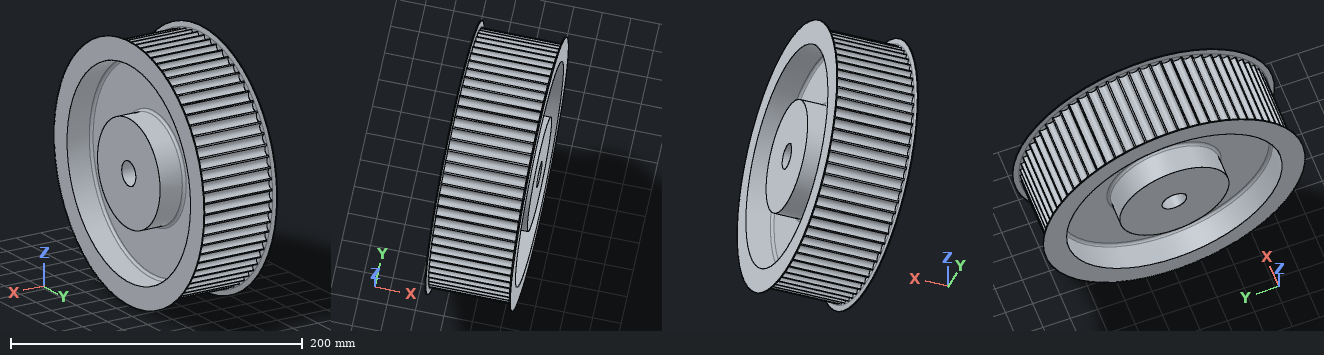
import cadquery as cq
import math

flange_diameter = 192.0
width = 60.0
flange_root_thickness = 1.44
flange_rim_thickness = 0.8
flange_cone_diameter = 184.0
tooth_count = 72
tip_diameter = 182.0
land_width = 1.2
groove_depth = 3.5
recess_diameter = 158.0
boss_diameter = 80.0
bore_diameter = 18.0
corner_radius = 2.0
web_thickness = 20.0

recess_depth = (width - web_thickness) / 2
tip_radius = tip_diameter / 2
tooth_pitch_angle = 2 * math.pi / tooth_count
half_groove_angle = tooth_pitch_angle / 2 - land_width / tip_diameter


def polar(radius, angle):
    return (radius * math.cos(angle), radius * math.sin(angle))


def disc(x_start, diameter, length):
    """Solid cylinder along +X from x_start."""
    return cq.Workplane("YZ", origin=(x_start, 0, 0)).circle(diameter / 2).extrude(length)


def toothed_rim():
    """Full-width cylinder with concave arc grooves separated by narrow lands."""
    outline = cq.Workplane("YZ", origin=(-width / 2, 0, 0)).moveTo(*polar(tip_radius, -half_groove_angle))
    for tooth in range(tooth_count):
        angle = tooth * tooth_pitch_angle
        next_angle = angle + tooth_pitch_angle
        outline = outline.threePointArc(
            polar(tip_radius - groove_depth, angle),
            polar(tip_radius, angle + half_groove_angle),
        )
        outline = outline.threePointArc(
            polar(tip_radius, angle + tooth_pitch_angle / 2),
            polar(tip_radius, next_angle - half_groove_angle),
        )
    return outline.close().extrude(width)


def flange(side):
    """Flange flat on the outside, its inner face tapering to a thin rim; side is -1 or +1 along X."""
    outer_face = side * width / 2
    root_face = outer_face - side * flange_root_thickness
    rim_face = outer_face - side * flange_rim_thickness
    half_section = [
        (outer_face, 0),
        (outer_face, flange_diameter / 2),
        (rim_face, flange_diameter / 2),
        (root_face, flange_cone_diameter / 2),
        (root_face, 0),
    ]
    return cq.Workplane("XY").polyline(half_section).close().revolve(360, (0, 0, 0), (1, 0, 0))


def ring_recess(x_start, floor_face):
    """Ring pocket around the boss, with rounded corners at its floor."""
    ring = disc(x_start, recess_diameter, recess_depth).cut(disc(x_start, boss_diameter, recess_depth))
    return ring.faces(floor_face).edges().fillet(corner_radius)


result = toothed_rim()
result = result.union(flange(-1)).union(flange(1))
result = result.cut(ring_recess(-width / 2, ">X"))
result = result.cut(ring_recess(width / 2 - recess_depth, "<X"))
result = result.cut(disc(-width / 2, bore_diameter, width))